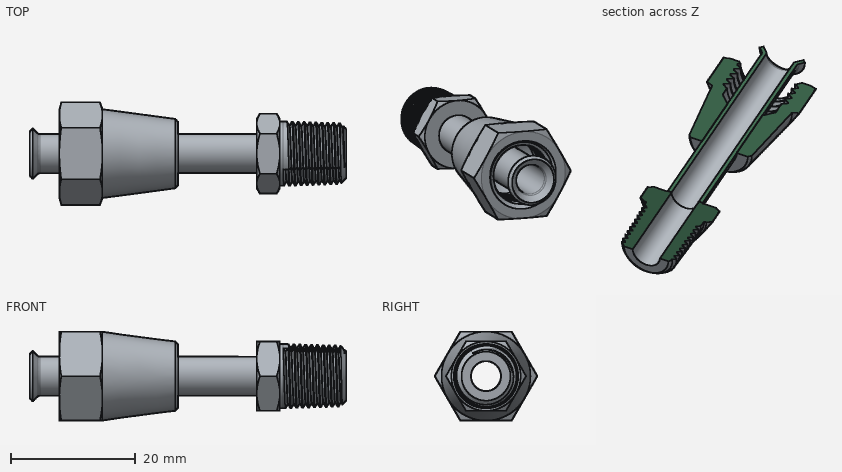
import cadquery as cq
import math

TOTAL_LENGTH = 50.8

TUBE_RADIUS = 3.15
TUBE_WALL = 0.75
TUBE_BORE_RADIUS = TUBE_RADIUS - TUBE_WALL
FLARE_RADIUS = 4.05
FLARE_LIP = 0.5
FLARE_BEND_RADIUS = 0.5

NUT_START = 4.8
NUT_HEX_LENGTH = 6.9
NUT_ACROSS_FLATS = 14.3
NUT_FRONT_BEVEL = 0.3
NUT_REAR_BEVEL = 0.4
NUT_END = 23.8
NUT_TIP_RADIUS = 5.6
NUT_TIP_CHAMFER = 0.5
NUT_THREAD_RADIUS = 5.6
NUT_BORE_RADIUS = 4.65
NUT_THREAD_ANGLE = -120.0
NUT_THREAD_TURNS = 5
NUT_PITCH = 1.25
NUT_SEAT_START = 12.7

FITTING_START = 36.4
FITTING_HEX_LENGTH = 3.7
FITTING_ACROSS_FLATS = 11.1
FITTING_BEVEL = 0.5
NECK_END = 40.6
NECK_RADIUS = 5.2
TAPER = 1 / 32
END_CHAMFER = 0.95
FITTING_THREAD_START = 41.05
FITTING_THREAD_ANGLE = 30.0
FITTING_THREAD_TURNS = 10
FITTING_THREAD_LENGTH = 9.45
FITTING_THREAD_DEPTH = 0.65

FLANK_SLOPE = math.tan(math.radians(30))
ROOT_WIDTH = 0.05
CUT_MARGIN = 0.1


def revolve(points):
    """Turn an outline of (x, radius) points about the X axis."""
    return cq.Workplane("XY").polyline(points).close().revolve(360, (0, 0), (1, 0))


def hexagon(start, length, across_flats):
    """Hexagonal bar along X, with flats on top and bottom."""
    across_corners = across_flats / math.cos(math.pi / 6)
    return cq.Workplane("YZ", origin=(start, 0, 0)).polygon(6, across_corners).extrude(length)


def beveled_hexagon(start, length, across_flats, front_bevel, rear_bevel):
    """Hexagonal bar whose corners are turned down to the flats at both ends."""
    end = start + length
    flat_radius = across_flats / 2
    corner_radius = flat_radius / math.cos(math.pi / 6)
    turned_limit = revolve([
        (start, 0),
        (start, flat_radius),
        (start + front_bevel, corner_radius),
        (end - rear_bevel, corner_radius),
        (end, flat_radius),
        (end, 0),
    ])
    return hexagon(start, length, across_flats).intersect(turned_limit)


def thread_turn(pitch, root_radius, open_radius, taper):
    """One turn of a right-handed V groove, rising along Z from the +X side.

    The groove is narrow at root_radius and widens towards open_radius.
    """
    root_half = ROOT_WIDTH / 2
    open_half = root_half + abs(open_radius - root_radius) * FLANK_SLOPE
    if taper:
        helix = cq.Wire.makeHelix(pitch, pitch, root_radius, angle=-math.degrees(math.atan(taper)))
    else:
        helix = cq.Wire.makeHelix(pitch, pitch, root_radius)
    return (
        cq.Workplane("XZ")
        .polyline([
            (root_radius, -root_half),
            (open_radius, -open_half),
            (open_radius, open_half),
            (root_radius, root_half),
        ])
        .close()
        .sweep(cq.Workplane(helix), isFrenet=True)
    )


def cut_thread(body, start, start_angle, pitch, turns, root_radius, open_radius, taper=0.0):
    """Cut a helical thread along X into a body, one turn after another.

    The thread begins at an angle measured from +Z towards -Y; a taper makes it shrink towards +X.
    """
    for turn in range(turns):
        advance = turn * pitch
        shrink = advance * taper
        groove = thread_turn(pitch, root_radius - shrink, open_radius - shrink, taper)
        groove = groove.rotate((0, 0, 0), (0, 1, 0), 90)
        groove = groove.rotate((0, 0, 0), (1, 0, 0), 180 + start_angle)
        body = body.cut(groove.translate((start + advance, 0, 0)))
    return body


def make_tube():
    """Plain tube with a 45 degree flare at its mouth."""
    flare_end = FLARE_LIP + FLARE_RADIUS - TUBE_RADIUS
    mouth_radius = FLARE_RADIUS - FLARE_LIP
    inner_flare_end = mouth_radius - TUBE_BORE_RADIUS
    tube = revolve([
        (0, mouth_radius),
        (FLARE_LIP, FLARE_RADIUS),
        (flare_end, TUBE_RADIUS),
        (FITTING_START, TUBE_RADIUS),
        (FITTING_START, TUBE_BORE_RADIUS),
        (inner_flare_end, TUBE_BORE_RADIUS),
    ])
    bend_zone = cq.selectors.BoxSelector(
        (inner_flare_end - CUT_MARGIN, -FLARE_RADIUS, -FLARE_RADIUS),
        (flare_end + CUT_MARGIN, FLARE_RADIUS, FLARE_RADIUS),
    )
    return tube.edges("%CIRCLE").edges(bend_zone).fillet(FLARE_BEND_RADIUS).solids()


def make_nut():
    """Hexagonal flare nut with a conical tail, an inner thread and a seat for the flare."""
    hex_end = NUT_START + NUT_HEX_LENGTH
    head = beveled_hexagon(
        NUT_START, NUT_HEX_LENGTH, NUT_ACROSS_FLATS, NUT_FRONT_BEVEL, NUT_REAR_BEVEL
    )
    tail = revolve([
        (hex_end, 0),
        (hex_end, NUT_ACROSS_FLATS / 2),
        (NUT_END - NUT_TIP_CHAMFER, NUT_TIP_RADIUS),
        (NUT_END, NUT_TIP_RADIUS - NUT_TIP_CHAMFER),
        (NUT_END, 0),
    ])
    entry_depth = NUT_THREAD_RADIUS - NUT_BORE_RADIUS
    seat_depth = NUT_BORE_RADIUS - TUBE_RADIUS
    bore = revolve([
        (NUT_START, 0),
        (NUT_START, NUT_THREAD_RADIUS),
        (NUT_START + entry_depth, NUT_BORE_RADIUS),
        (NUT_SEAT_START, NUT_BORE_RADIUS),
        (NUT_SEAT_START + seat_depth, TUBE_RADIUS),
        (NUT_END, TUBE_RADIUS),
        (NUT_END, 0),
    ])
    nut = cut_thread(
        head.union(tail).cut(bore),
        NUT_START, NUT_THREAD_ANGLE, NUT_PITCH, NUT_THREAD_TURNS,
        NUT_THREAD_RADIUS, NUT_BORE_RADIUS - CUT_MARGIN,
    )
    return nut.solids()


def make_fitting():
    """Hexagonal fitting with a tapered outer thread; the tube butts against its hexagon."""
    head = beveled_hexagon(
        FITTING_START, FITTING_HEX_LENGTH, FITTING_ACROSS_FLATS, FITTING_BEVEL, FITTING_BEVEL
    )
    hex_end = FITTING_START + FITTING_HEX_LENGTH
    chamfer_start = TOTAL_LENGTH - END_CHAMFER
    tip_radius = NECK_RADIUS - (chamfer_start - NECK_END) * TAPER
    shank = revolve([
        (hex_end, 0),
        (hex_end, NECK_RADIUS),
        (NECK_END, NECK_RADIUS),
        (chamfer_start, tip_radius),
        (TOTAL_LENGTH, tip_radius - END_CHAMFER),
        (TOTAL_LENGTH, 0),
    ])
    bore = (
        cq.Workplane("YZ", origin=(FITTING_START, 0, 0))
        .circle(TUBE_BORE_RADIUS)
        .extrude(TOTAL_LENGTH - FITTING_START)
    )
    threaded_shank = cut_thread(
        shank,
        FITTING_THREAD_START, FITTING_THREAD_ANGLE,
        FITTING_THREAD_LENGTH / FITTING_THREAD_TURNS, FITTING_THREAD_TURNS,
        NECK_RADIUS - FITTING_THREAD_DEPTH, NECK_RADIUS + CUT_MARGIN, TAPER,
    )
    return head.union(threaded_shank).cut(bore).solids()


tube = make_tube()
nut = make_nut()
fitting = make_fitting()

result = cq.Compound.makeCompound([tube.val(), nut.val(), fitting.val()])